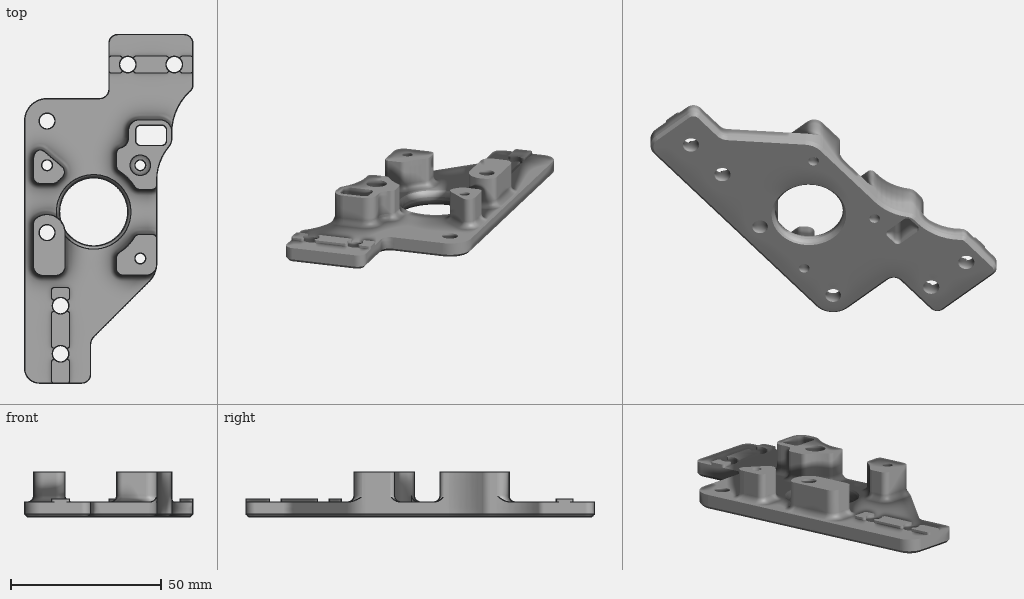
import cadquery as cq
import math

PLATE_THICKNESS = 5.0
TOTAL_HEIGHT = 15.0
STRIP_HEIGHT = 1.0
BOTTOM_CHAMFER = 1.0
BOSS_FILLET = 2.0

SLAB_SIZE = 200.0

MOTOR_HALF_WIDTH = 21.0
MOTOR_SCREW_PITCH = 31.0
MOTOR_SCREW_DIAMETER = 3.5
SCREW_HEAD_DIAMETER = 6.8
SCREW_HEAD_DEPTH = 2.0
BORE_DIAMETER = 22.6
BORE_CHAMFER = 1.1
BORE_FILLET = 2.0
MOTOR_CLEARANCE_RADIUS = 16.0

PLATE_LEFT = -23.0
PLATE_WIDTH = 56.03
PLATE_LENGTH = 116.0
PLATE_RIGHT = PLATE_LEFT + PLATE_WIDTH
PLATE_TOP = 59.0
PLATE_BOTTOM = PLATE_TOP - PLATE_LENGTH
ARM_WIDTH = 28.0
ARM_LEFT = PLATE_RIGHT - ARM_WIDTH
ARM_SLOPE_TOP = 41.0
ARM_SLOPE_CORNER = 2.5
TAIL_WIDTH = 22.0
TAIL_RIGHT = PLATE_LEFT + TAIL_WIDTH
TAIL_SLOPE_TOP = -20.6
TAIL_SLOPE_BOTTOM = TAIL_SLOPE_TOP - (MOTOR_HALF_WIDTH - TAIL_RIGHT)
SHOULDER_RADIUS = 7.5
SMALL_CORNER = 3.0
TAIL_CORNER = 5.0
TAIL_SLOPE_BOTTOM_CORNER = 4.0
TAIL_SLOPE_TOP_CORNER = 8.5
SWEEP_UPPER_RADIUS = 18.6
SWEEP_LOWER_RADIUS = 17.3

FRAME_HOLE_DIAMETER = 5.4
ARM_HOLE_INSET = 10.0
ARM_HOLE_Y = PLATE_TOP - ARM_HOLE_INSET
ARM_HOLES_X = (11.35, 26.8)
TAIL_HOLE_INSET = 12.0
TAIL_HOLE_X = PLATE_LEFT + TAIL_HOLE_INSET
TAIL_HOLES_Y = (-47.2, -31.2)
IDLER_HOLE_DIAMETER = 5.2
IDLER_X = -MOTOR_SCREW_PITCH / 2
IDLER_LOWER_Y = -6.9
IDLER_PITCH = 37.1
IDLER_UPPER_Y = IDLER_LOWER_Y + IDLER_PITCH
SHOULDER_Y = IDLER_UPPER_Y + SHOULDER_RADIUS

ARM_STRIP_WIDTH = 5.6
TAIL_STRIP_WIDTH = 6.0
STRIP_HOLE_GAP = 3.8
STRIP_CORNER = 0.8
TAIL_STRIP_OVERRUN = 6.0
TAIL_STRIP_TOP = TAIL_HOLES_Y[1] + TAIL_STRIP_OVERRUN

BOSS_INSET = 3.0
BOSS_LEFT = PLATE_LEFT + BOSS_INSET
BOSS_CORNER = 2.0
SCREW_BOSS_BOTTOM = 9.5
SCREW_BOSS_SLOPE_RIGHT = (-8.6, 13.4)
SCREW_BOSS_SLOPE_LEFT = (-18.75, 22.1)
SCREW_BOSS_BEND_Y = 18.18
SCREW_BOSS_BEND_RADIUS = 6.0
SCREW_BOSS_RIGHT_CORNER = 2.4
SCREW_BOSS_TOP_CORNER = 2.1
BORE_SIDE_OFFSET = 22.0
IDLER_BOSS_RADIUS = 6.0
IDLER_BOSS_BOTTOM = -21.1
IDLER_BOSS_BOTTOM_CORNER = 3.0
IDLER_BOSS_TOP_CORNER = 2.5
MOTOR_BOSS_LEFT = 7.6
MOTOR_BOSS_INNER_Y = 7.5
MOTOR_BOSS_EDGE_CORNER = 1.5
MOTOR_BOSS_OUTER_CORNER = 3.5

POCKET_X = 19.1
POCKET_Y = 25.45
POCKET_LENGTH = 10.2
POCKET_WIDTH = 6.7
POCKET_CORNER = 1.6
POCKET_BOSS_LEFT = 11.6
POCKET_BOSS_RIGHT = 26.0
POCKET_BOSS_TOP = 30.6
POCKET_BOSS_CORNER = 4.0
POCKET_BOSS_LEFT_CORNER = 3.6
WAIST_RADIUS = 3.4
WAIST_TOP_Y = 22.06
WAIST_BOTTOM_Y = 20.9
SWEEP_UPPER_Y = 34.68
BULGE_Y = 22.85
SWEEP_LOWER_Y = 16.87


def rounded_polygon(corners, bottom, height):
    """Prism over a polygon whose corners are (x, y, corner radius)."""
    arcs = []
    for i, (x, y, radius) in enumerate(corners):
        corner = cq.Vector(x, y)
        before = corners[i - 1]
        after = corners[(i + 1) % len(corners)]
        back = (cq.Vector(before[0], before[1]) - corner).normalized()
        ahead = (cq.Vector(after[0], after[1]) - corner).normalized()
        half_angle = back.getAngle(ahead) / 2
        setback = radius / math.tan(half_angle)
        sagitta = radius / math.sin(half_angle) - radius
        middle = corner + (back + ahead).normalized() * sagitta
        arcs.append((corner + back * setback, middle, corner + ahead * setback))

    edges = []
    for i, (start, middle, end) in enumerate(arcs):
        edges.append(cq.Edge.makeLine(arcs[i - 1][2], start))
        edges.append(cq.Edge.makeThreePointArc(start, middle, end))
    face = cq.Face.makeFromWires(cq.Wire.assembleEdges(edges))
    prism = cq.Solid.extrudeLinear(face, cq.Vector(0, 0, height))
    return cq.Workplane(obj=prism.translate(cq.Vector(0, 0, bottom)))


def cylinder(x, y, diameter, bottom=0.0):
    """Vertical cylinder that ends at the top of the bosses."""
    height = TOTAL_HEIGHT - bottom
    return cq.Workplane(origin=(x, y, bottom)).circle(diameter / 2).extrude(height)


def boss(corners):
    """Full-height prism; its lower part merges into the plate."""
    return rounded_polygon(corners, 0, TOTAL_HEIGHT)


def outline_prism():
    """Plate outline at full height, chamfered around the underside."""
    corners = [
        (PLATE_LEFT, PLATE_BOTTOM, TAIL_CORNER),
        (TAIL_RIGHT, PLATE_BOTTOM, SMALL_CORNER),
        (TAIL_RIGHT, TAIL_SLOPE_BOTTOM, TAIL_SLOPE_BOTTOM_CORNER),
        (MOTOR_HALF_WIDTH, TAIL_SLOPE_TOP, TAIL_SLOPE_TOP_CORNER),
        (MOTOR_HALF_WIDTH, SWEEP_LOWER_Y, SWEEP_LOWER_RADIUS),
        (POCKET_BOSS_RIGHT, BULGE_Y, POCKET_BOSS_CORNER),
        (POCKET_BOSS_RIGHT, SWEEP_UPPER_Y, SWEEP_UPPER_RADIUS),
        (PLATE_RIGHT, ARM_SLOPE_TOP, ARM_SLOPE_CORNER),
        (PLATE_RIGHT, PLATE_TOP, SMALL_CORNER),
        (ARM_LEFT, PLATE_TOP, SMALL_CORNER),
        (ARM_LEFT, SHOULDER_Y, SMALL_CORNER),
        (PLATE_LEFT, SHOULDER_Y, SHOULDER_RADIUS),
    ]
    prism = rounded_polygon(corners, 0, TOTAL_HEIGHT)
    return prism.faces("<Z").edges().chamfer(BOTTOM_CHAMFER)


def upper_left_boss():
    """Screw boss with a slope on the outside and a flat toward the bore."""
    return boss([
        (BOSS_LEFT, SCREW_BOSS_BOTTOM, BOSS_CORNER),
        (SCREW_BOSS_BOTTOM - BORE_SIDE_OFFSET, SCREW_BOSS_BOTTOM, BOSS_CORNER),
        (*SCREW_BOSS_SLOPE_RIGHT, SCREW_BOSS_RIGHT_CORNER),
        (*SCREW_BOSS_SLOPE_LEFT, SCREW_BOSS_TOP_CORNER),
        (BOSS_LEFT, SCREW_BOSS_BEND_Y, SCREW_BOSS_BEND_RADIUS),
    ])


def lower_left_boss():
    """Idler boss, round about its hole and flat on the left side."""
    width = IDLER_X + IDLER_BOSS_RADIUS - BOSS_LEFT
    length = IDLER_LOWER_Y - IDLER_BOSS_BOTTOM
    block = cq.Workplane(origin=(BOSS_LEFT, IDLER_BOSS_BOTTOM, 0))
    straight = block.rect(width, length, centered=False).extrude(TOTAL_HEIGHT)
    limit = block.rect(width, length + IDLER_BOSS_RADIUS, centered=False).extrude(TOTAL_HEIGHT)
    rounded = cylinder(IDLER_X, IDLER_LOWER_Y, 2 * IDLER_BOSS_RADIUS).intersect(limit)
    body = straight.union(rounded).clean()
    body = body.faces("<Y").edges("|Z").fillet(IDLER_BOSS_BOTTOM_CORNER)
    return body.faces("<X").edges("|Z and >Y").fillet(IDLER_BOSS_TOP_CORNER)


def clear_motor(block, side):
    """Hollow a right-hand boss around the motor axis; side is 1 above it and -1 below."""
    block = block.cut(cylinder(0, 0, 2 * MOTOR_CLEARANCE_RADIUS))
    corners = (
        (MOTOR_BOSS_LEFT, side * math.sqrt(MOTOR_CLEARANCE_RADIUS**2 - MOTOR_BOSS_LEFT**2)),
        (math.sqrt(MOTOR_CLEARANCE_RADIUS**2 - MOTOR_BOSS_INNER_Y**2), side * MOTOR_BOSS_INNER_Y),
    )
    for x, y in corners:
        nearest = cq.selectors.NearestToPointSelector((x, y, TOTAL_HEIGHT / 2))
        block = block.edges("|Z").edges(nearest).fillet(BOSS_CORNER)
    return block


def lower_right_boss():
    block = boss([
        (MOTOR_BOSS_LEFT, -MOTOR_HALF_WIDTH, BOSS_CORNER),
        (MOTOR_HALF_WIDTH, -MOTOR_HALF_WIDTH, MOTOR_BOSS_OUTER_CORNER),
        (MOTOR_HALF_WIDTH, -MOTOR_BOSS_INNER_Y, MOTOR_BOSS_EDGE_CORNER),
        (MOTOR_BOSS_LEFT, -MOTOR_BOSS_INNER_Y, BOSS_CORNER),
    ])
    return clear_motor(block, -1)


def upper_right_boss():
    """Screw boss joined to the pocket boss; its right side follows the plate edge."""
    block = boss([
        (MOTOR_HALF_WIDTH, MOTOR_BOSS_INNER_Y, MOTOR_BOSS_EDGE_CORNER),
        (MOTOR_HALF_WIDTH, SWEEP_LOWER_Y, SWEEP_LOWER_RADIUS),
        (POCKET_BOSS_RIGHT, BULGE_Y, POCKET_BOSS_CORNER),
        (POCKET_BOSS_RIGHT, POCKET_BOSS_TOP, POCKET_BOSS_CORNER),
        (POCKET_BOSS_LEFT, POCKET_BOSS_TOP, POCKET_BOSS_LEFT_CORNER),
        (POCKET_BOSS_LEFT, WAIST_TOP_Y, WAIST_RADIUS),
        (MOTOR_BOSS_LEFT, WAIST_BOTTOM_Y, BOSS_CORNER),
        (MOTOR_BOSS_LEFT, MOTOR_BOSS_INNER_Y, BOSS_CORNER),
    ])
    return clear_motor(block, 1)


def filleted_body():
    """Bosses on an oversize slab, filleted at the base, then trimmed to the outline."""
    body = cq.Workplane().rect(SLAB_SIZE, SLAB_SIZE).extrude(PLATE_THICKNESS)
    for make in (upper_left_boss, lower_left_boss, lower_right_boss, upper_right_boss):
        body = body.union(make())
    margin = 0.1
    half = SLAB_SIZE / 2 - margin
    base_edges = cq.selectors.BoxSelector(
        (-half, -half, PLATE_THICKNESS - margin),
        (half, half, PLATE_THICKNESS + margin),
    )
    return body.edges(base_edges).fillet(BOSS_FILLET).intersect(outline_prism())


def strip(x0, y0, x1, y1):
    """Raised rectangle on the plate, rounded at its corners."""
    block = cq.Workplane(origin=((x0 + x1) / 2, (y0 + y1) / 2, PLATE_THICKNESS))
    block = block.rect(x1 - x0, y1 - y0).extrude(STRIP_HEIGHT)
    return block.edges("|Z").fillet(STRIP_CORNER)


def segments(start, holes, end):
    """Ranges left between the ends of a strip once each hole takes its gap."""
    half_gap = STRIP_HOLE_GAP / 2
    starts = [start] + [hole + half_gap for hole in holes]
    ends = [hole - half_gap for hole in holes] + [end]
    return list(zip(starts, ends))


def add_strips(body):
    half = ARM_STRIP_WIDTH / 2
    for x0, x1 in segments(ARM_LEFT, ARM_HOLES_X, PLATE_RIGHT):
        body = body.union(strip(x0, ARM_HOLE_Y - half, x1, ARM_HOLE_Y + half))
    half = TAIL_STRIP_WIDTH / 2
    for y0, y1 in segments(PLATE_BOTTOM, TAIL_HOLES_Y, TAIL_STRIP_TOP):
        body = body.union(strip(TAIL_HOLE_X - half, y0, TAIL_HOLE_X + half, y1))
    return body


def cut_holes(body):
    for x in ARM_HOLES_X:
        body = body.cut(cylinder(x, ARM_HOLE_Y, FRAME_HOLE_DIAMETER))
    for y in TAIL_HOLES_Y:
        body = body.cut(cylinder(TAIL_HOLE_X, y, FRAME_HOLE_DIAMETER))
    for y in (IDLER_LOWER_Y, IDLER_UPPER_Y):
        body = body.cut(cylinder(IDLER_X, y, IDLER_HOLE_DIAMETER))
    reach = MOTOR_SCREW_PITCH / 2
    for x, y in ((-reach, reach), (reach, reach), (reach, -reach)):
        body = body.cut(cylinder(x, y, MOTOR_SCREW_DIAMETER))
    head_seat = TOTAL_HEIGHT - SCREW_HEAD_DEPTH
    return body.cut(cylinder(reach, reach, SCREW_HEAD_DIAMETER, head_seat))


def bore_ring():
    """Plate material around the bore, flared to both faces by a rounded-off chamfer."""
    ring = cq.Workplane().circle(MOTOR_CLEARANCE_RADIUS).circle(BORE_DIAMETER / 2)
    ring = ring.extrude(PLATE_THICKNESS)
    inner_circles = cq.selectors.RadiusNthSelector(0)
    ring = ring.edges("%CIRCLE").edges(inner_circles).chamfer(BORE_CHAMFER)
    return ring.edges("%CIRCLE").edges(inner_circles).fillet(BORE_FILLET)


def cut_bore(body):
    """Cut the flared bore through the plate and leave the idler boss overhanging it."""
    flare_diameter = BORE_DIAMETER + 2 * BORE_CHAMFER
    body = body.cut(cylinder(0, 0, flare_diameter)).union(bore_ring())
    above_plate = cq.Workplane(origin=(0, 0, PLATE_THICKNESS))
    above_plate = above_plate.rect(SLAB_SIZE, SLAB_SIZE).extrude(TOTAL_HEIGHT)
    return body.union(lower_left_boss().intersect(above_plate))


def cut_pocket(body):
    """Rounded rectangular pocket through the upper right boss and the plate."""
    pocket = cq.Workplane(origin=(POCKET_X, POCKET_Y, 0)).rect(POCKET_LENGTH, POCKET_WIDTH)
    return body.cut(pocket.extrude(TOTAL_HEIGHT).edges("|Z").fillet(POCKET_CORNER))


result = cut_pocket(cut_holes(add_strips(cut_bore(filleted_body()))))